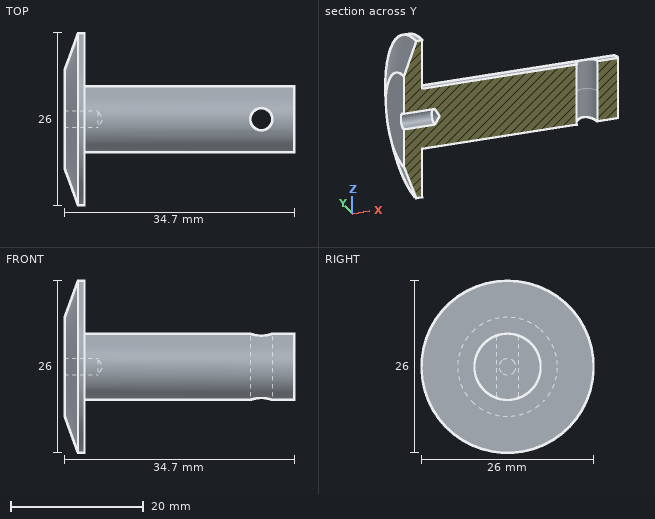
import cadquery as cq
import math

total_length = 34.66
shank_diameter = 10.0

head_diameter = 26.0
head_face_diameter = 15.0
head_flank_angle = 20.0
rim_thickness = 1.0
flank_depth = (head_diameter - head_face_diameter) / 2 * math.tan(math.radians(head_flank_angle))
head_thickness = flank_depth + rim_thickness

cross_hole_diameter = 3.3
cross_hole_end_distance = 5.0

axial_hole_diameter = 2.5
axial_hole_depth = 2 * axial_hole_diameter
drill_point_angle = 118.0
drill_point_length = axial_hole_diameter / 2 / math.tan(math.radians(drill_point_angle / 2))


def revolve_about_x(profile):
    """Revolve a closed XZ profile of (axial, radial) points about the X axis."""
    return cq.Workplane("XZ").polyline(profile).close().revolve(360, (0, 0, 0), (1, 0, 0))


def make_pin_body():
    return revolve_about_x([
        (0, 0),
        (0, head_face_diameter / 2),
        (flank_depth, head_diameter / 2),
        (head_thickness, head_diameter / 2),
        (head_thickness, shank_diameter / 2),
        (total_length, shank_diameter / 2),
        (total_length, 0),
    ])


def make_cross_hole():
    return (
        cq.Workplane("XY")
        .center(total_length - cross_hole_end_distance, 0)
        .circle(cross_hole_diameter / 2)
        .extrude(shank_diameter, both=True)
    )


def make_axial_hole():
    return revolve_about_x([
        (0, 0),
        (0, axial_hole_diameter / 2),
        (axial_hole_depth, axial_hole_diameter / 2),
        (axial_hole_depth + drill_point_length, 0),
    ])


result = make_pin_body().cut(make_cross_hole()).cut(make_axial_hole())